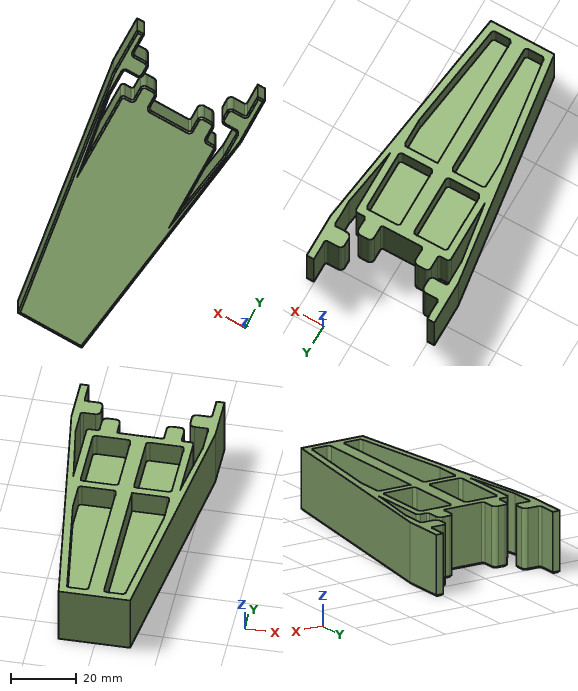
import cadquery as cq

length = 95.0
height = 20.0
rear_half_width = 22.5
front_half_width = 11.2
rear_y = length / 2
front_y = -length / 2

wall = 2.5
arm_wall = 2.6
arm_straight_length = 15.0
arm_inner_straight_length = 21.7
slit_end_y = rear_y - 41.9

body_half_width = 16.7
body_rear_y = rear_y - 19.9
body_corner_radius = 1.0

prong_width = 5.5
prong_length = 6.0
arm_prong_y = rear_y - 10.0
body_prong_x = 10.1
prong_tip_radius = 1.5
prong_root_radius = 0.8

pocket_depth = 7.5
pocket_corner_radius = 1.0
cross_rib = 2.6
spine_width = 4.8
rear_pocket_length = 21.2

bottom_chamfer = 0.6

spine_half_width = spine_width / 2
side_taper = (rear_half_width - front_half_width) / (length - arm_straight_length)
pocket_outer_x = body_half_width - wall
rear_pocket_rear_y = body_rear_y - cross_rib
rear_pocket_front_y = rear_pocket_rear_y - rear_pocket_length
front_pocket_rear_y = rear_pocket_front_y - cross_rib
front_pocket_front_y = front_y + wall
arm_inner_x = rear_half_width - arm_wall


def round_corners(solid, corners, radius):
    """Fillet the vertical edges that stand at the given (x, y) corners."""
    for x, y in corners:
        edge = cq.selectors.NearestToPointSelector((x, y, height / 2))
        solid = solid.edges("|Z").edges(edge).fillet(radius)
    return solid


def mirrored(corners):
    """The corners together with their mirror images across the YZ plane."""
    return corners + [(-x, y) for x, y in corners]


def make_frame():
    """Outline with arms, prongs and slits, extruded to full height."""
    prong_half = prong_width / 2
    arm_prong_rear = (arm_inner_x, arm_prong_y + prong_half)
    arm_prong_front = (arm_inner_x, arm_prong_y - prong_half)
    arm_tip_rear = (arm_inner_x - prong_length, arm_prong_y + prong_half)
    arm_tip_front = (arm_inner_x - prong_length, arm_prong_y - prong_half)
    body_corner = (body_half_width, body_rear_y)
    body_root_outer = (body_prong_x + prong_half, body_rear_y)
    body_root_inner = (body_prong_x - prong_half, body_rear_y)
    body_tip_outer = (body_prong_x + prong_half, body_rear_y + prong_length)
    body_tip_inner = (body_prong_x - prong_half, body_rear_y + prong_length)

    right_side = [
        (front_half_width, front_y),
        (rear_half_width, rear_y - arm_straight_length),
        (rear_half_width, rear_y),
        (arm_inner_x, rear_y),
        arm_prong_rear,
        arm_tip_rear,
        arm_tip_front,
        arm_prong_front,
        (arm_inner_x, rear_y - arm_inner_straight_length),
        (body_half_width, slit_end_y),
        body_corner,
        body_root_outer,
        body_tip_outer,
        body_tip_inner,
        body_root_inner,
    ]
    left_side = [(-x, y) for x, y in reversed(right_side)]
    frame = cq.Workplane("XY").polyline(right_side + left_side).close().extrude(height)

    tips = [arm_tip_rear, arm_tip_front, body_tip_outer, body_tip_inner]
    roots = [arm_prong_rear, arm_prong_front, body_root_outer, body_root_inner]
    frame = round_corners(frame, mirrored(tips), prong_tip_radius)
    frame = round_corners(frame, mirrored(roots), prong_root_radius)
    frame = round_corners(frame, mirrored([body_corner]), body_corner_radius)
    return frame.faces("<Z").edges().chamfer(bottom_chamfer)


def pocket_cutter(corners, rounded):
    """Pocket volume below the top face, with the listed corners rounded."""
    floor = cq.Workplane("XY").workplane(offset=height - pocket_depth)
    cutter = floor.polyline(corners).close().extrude(pocket_depth)
    return round_corners(cutter, rounded, pocket_corner_radius)


def rear_pocket(side):
    """Rectangular pocket; side is +1 for +X and -1 for -X."""
    corners = [
        (side * spine_half_width, rear_pocket_rear_y),
        (side * pocket_outer_x, rear_pocket_rear_y),
        (side * pocket_outer_x, rear_pocket_front_y),
        (side * spine_half_width, rear_pocket_front_y),
    ]
    return pocket_cutter(corners, corners)


def front_pocket(side):
    """Pocket whose outer wall turns to follow the tapered side."""
    taper_wall = wall * (1 + side_taper**2) ** 0.5
    front_outer_x = front_half_width + wall * side_taper - taper_wall
    bend_y = front_pocket_front_y + (pocket_outer_x - front_outer_x) / side_taper
    rear_inner = (side * spine_half_width, front_pocket_rear_y)
    rear_outer = (side * pocket_outer_x, front_pocket_rear_y)
    bend = (side * pocket_outer_x, bend_y)
    front_outer = (side * front_outer_x, front_pocket_front_y)
    front_inner = (side * spine_half_width, front_pocket_front_y)

    rounded = [rear_outer, front_outer, front_inner]
    if side < 0:
        rounded.append(rear_inner)
    return pocket_cutter([rear_inner, rear_outer, bend, front_outer, front_inner], rounded)


result = make_frame()
for side in (1, -1):
    result = result.cut(rear_pocket(side))
    result = result.cut(front_pocket(side))